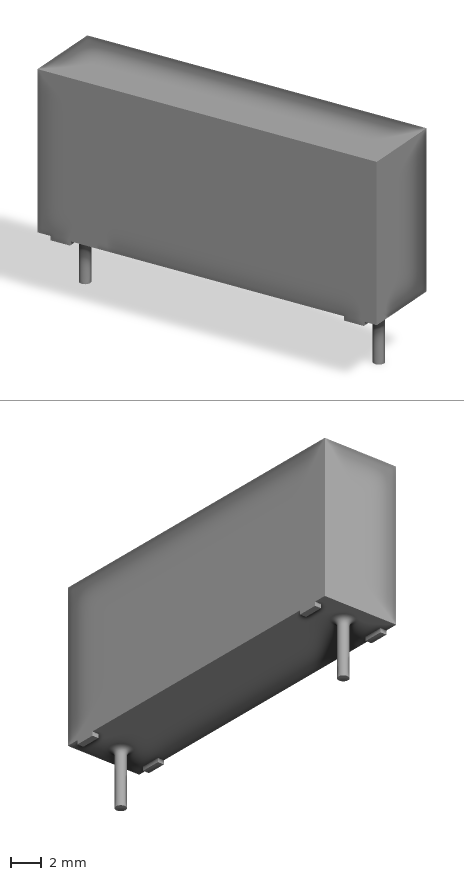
import cadquery as cq

case_length = 26.0
case_width = 6.0
total_height = 16.0

lead_diameter = 0.8
lead_length = 4.3
lead_pitch = 22.52
root_fillet = 0.47

foot_length = 1.5
foot_width = 0.5
foot_height = 0.3

case_height = total_height - lead_length
lead_x_positions = (-lead_pitch / 2, lead_pitch / 2)
foot_y = (case_width - foot_width) / 2


def make_case():
    return cq.Workplane("XY").box(
        case_length, case_width, case_height, centered=(True, True, False)
    )


def make_lead(x):
    """Lead with a concave fillet where it leaves the underside of the case."""
    radius = lead_diameter / 2
    arc_reach = root_fillet * (1 - 0.5**0.5)
    profile = (
        cq.Workplane("XZ")
        .moveTo(0, 0)
        .lineTo(radius + root_fillet, 0)
        .threePointArc((radius + arc_reach, -arc_reach), (radius, -root_fillet))
        .lineTo(radius, -lead_length)
        .lineTo(0, -lead_length)
        .close()
    )
    return profile.revolve(360, (0, 0, 0), (0, 1, 0)).translate((x, 0, 0))


def make_foot(x, y):
    foot = cq.Workplane("XY").rect(foot_length, foot_width).extrude(-foot_height)
    return foot.translate((x, y, 0))


result = make_case()
for lead_x in lead_x_positions:
    result = result.union(make_lead(lead_x))
    for side in (-1, 1):
        result = result.union(make_foot(lead_x, side * foot_y))